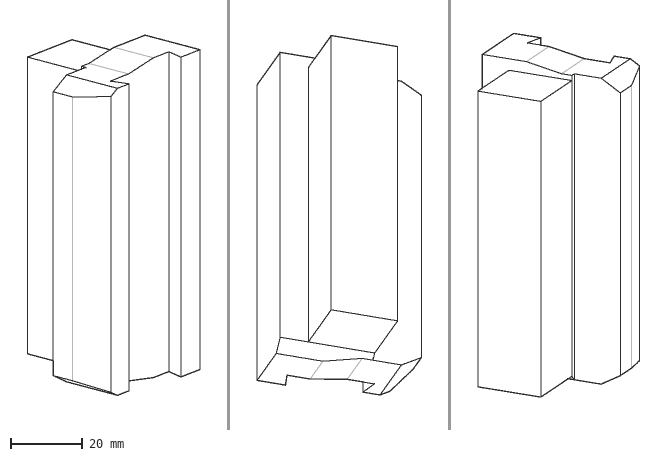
import cadquery as cq
import math

RAIL_HEIGHT = 95.0
RAIL_DEPTH = 42.6
TOTAL_WIDTH = 39.8

BAR_WIDTH = 19.8
BAR_DEPTH = BAR_WIDTH
BAR_BACK_Y = -8.4
BAR_END_INSET = 3.4
BAR_FRONT_Y = BAR_BACK_Y - BAR_DEPTH

RAIL_WIDTH = TOTAL_WIDTH - BAR_WIDTH
FACE_STEP = 1.5
TAPER_WIDTH = 11.4
GROOVE_DEPTH = 5.6
GROOVE_BACK_Y = -7.0
GROOVE_FRONT_Y = -33.0
SIDE_ANGLE = math.radians(15)
TAPER_DROP = TAPER_WIDTH * math.tan(SIDE_ANGLE)
DOVETAIL_DROP = GROOVE_DEPTH * math.tan(SIDE_ANGLE)

SLOPE_BACK_Y = -13.9
SLOPE_FRONT_Y = -24.9
SLOPE_DROP = 1.9
NOSE_START_Y = -36.6
NOSE_ANGLE = math.radians(30)
NOSE_DROP = (RAIL_DEPTH + NOSE_START_Y) * math.tan(NOSE_ANGLE)
FOOT_CHAMFER = BAR_END_INSET


def rail_section():
    """Full-height rail with a stepped face, tapered front and dovetail groove."""
    groove_floor_x = RAIL_WIDTH - GROOVE_DEPTH
    outline = [
        (0, 0),
        (0, BAR_FRONT_Y),
        (FACE_STEP, BAR_FRONT_Y),
        (FACE_STEP, -RAIL_DEPTH),
        (RAIL_WIDTH - TAPER_WIDTH, -RAIL_DEPTH),
        (RAIL_WIDTH, -RAIL_DEPTH + TAPER_DROP),
        (RAIL_WIDTH, GROOVE_FRONT_Y + DOVETAIL_DROP),
        (groove_floor_x, GROOVE_FRONT_Y),
        (groove_floor_x, GROOVE_BACK_Y),
        (RAIL_WIDTH, GROOVE_BACK_Y - DOVETAIL_DROP),
        (RAIL_WIDTH, 0),
    ]
    section = cq.Workplane("XY").polyline(outline).close()
    return section.extrude(RAIL_HEIGHT).translate((0, 0, -RAIL_HEIGHT / 2))


def end_profile():
    """Side silhouette of the rail, sloped alike at the top and bottom ends."""
    half_height = RAIL_HEIGHT / 2
    low_end = half_height - SLOPE_DROP
    top_edge = [
        (0, half_height),
        (SLOPE_BACK_Y, half_height),
        (SLOPE_FRONT_Y, low_end),
        (NOSE_START_Y, low_end),
        (-RAIL_DEPTH, low_end - NOSE_DROP),
    ]
    bottom_edge = [(y, -z) for y, z in reversed(top_edge)]
    return cq.Workplane("YZ").polyline(top_edge + bottom_edge).close().extrude(RAIL_WIDTH)


def foot_chamfer():
    """Wedge that bevels the bottom edge of the mounting face."""
    bottom = -RAIL_HEIGHT / 2
    corners = [(0, bottom), (FOOT_CHAMFER, bottom), (0, bottom + FOOT_CHAMFER)]
    return cq.Workplane("XZ").polyline(corners).close().extrude(RAIL_DEPTH)


def make_rail():
    return rail_section().intersect(end_profile()).cut(foot_chamfer())


def make_bar():
    bar_height = RAIL_HEIGHT - 2 * BAR_END_INSET
    bar = cq.Workplane("XY").box(BAR_WIDTH, BAR_DEPTH, bar_height)
    return bar.translate((-BAR_WIDTH / 2, BAR_BACK_Y - BAR_DEPTH / 2, 0))


rail = make_rail()
bar = make_bar()
result = cq.Compound.makeCompound([rail.solids().val(), bar.val()])